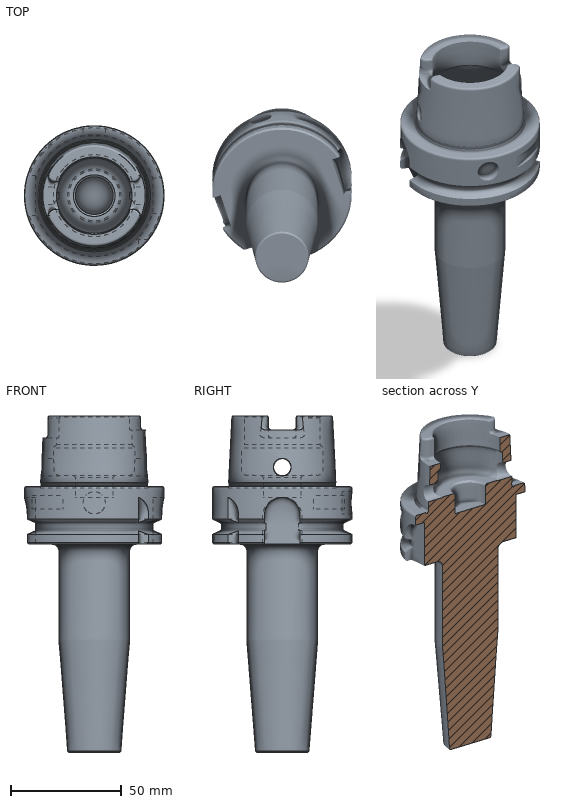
import cadquery as cq
import math


SHANK_LENGTH = 32.0
GAUGE_HEIGHT = 6.3
GAUGE_RADIUS = 24.0
TAPER_SLOPE = 1 / 20
SHANK_EDGE_FILLET = 1.0
RELIEF_HEIGHT = 1.8
RELIEF_DEPTH = 0.2
RELIEF_FOOT = 0.8
FACE_GROOVE_RADIUS = 25.4
FACE_GROOVE_DEPTH = 0.5

FLANGE_RADIUS = 31.5
FLANGE_THICKNESS = 26.0
FLANGE_TOP_FILLET = 1.0
FLANGE_BOTTOM_CHAMFER = 0.8
GROOVE_CENTRE_DEPTH = 18.1
GROOVE_MOUTH_WIDTH = 7.0
GROOVE_FLOOR_WIDTH = 3.2
GROOVE_RADIUS = 27.5
GROOVE_FILLET = 0.6

NOSE_LENGTH = 120.0
NOSE_RADIUS = 16.0
NOSE_TIP_RADIUS = 12.0
NOSE_CONE_ANGLE = 4.5
NOSE_TIP_CHAMFER = 0.6
NOSE_ROOT_FILLET = 3.0

BORE_RADIUS = 17.0
BORE_MOUTH_CHAMFER = 0.5
BORE_FLOOR_HEIGHT = 5.1
CLAMP_SHOULDER_HEIGHT = 19.0
CLAMP_RADIUS = 18.5
BORE_FLOOR_RADIUS = 15.8
PILOT_RADIUS = 8.5
PILOT_CHAMFER = 0.9
PILOT_DEPTH = 10.0

DRIVER_SLOT_WIDTH = 12.54
DRIVER_TIP_RADIUS = 3.25
DRIVER_WALL_X = 20.9
DRIVER_BASE_FILLET = 1.4
DRIVER_FLOOR_LEFT = 22.0
DRIVER_FLOOR_RIGHT = 25.6

CROSS_HOLE_DIAMETER = 7.8
CROSS_HOLE_HEIGHT = 8.75

KEYWAY_FLOOR_X = 26.5
KEYWAY_ROOF_DEPTH = 4.85
KEYWAY_WIDTH_LEFT = 18.0
KEYWAY_WIDTH_RIGHT = 16.0

NOTCH_FLOOR_X = 19.9
NOTCH_WALL_Y = -19.8
NOTCH_RADIUS = 8.5
NOTCH_SPRING_DEPTH = 12.4

CARRIER_HOLE_DIAMETER = 10.0
CARRIER_HOLE_DEPTH = 4.6
CARRIER_HOLE_Z = -7.3

FLAT_LENGTH = 20.0
FLAT_HEIGHT = 6.0
FLAT_CENTRE_DEPTH = 7.0
FLAT_DIRECTION = 135.0

CLEARANCE = 10.0
PICK_TOLERANCE = 0.1


def shank_radius(z):
    return GAUGE_RADIUS - (z - GAUGE_HEIGHT) * TAPER_SLOPE


def revolve_outline(outline):
    body = outline.close().revolve(360, (0, 0, 0), (0, 1, 0))
    return body.rotate((0, 0, 0), (0, 0, 1), -90)


def revolve_profile(points):
    return revolve_outline(cq.Workplane("XZ").polyline(points))


def make_driver_slot(side, floor):
    half = DRIVER_SLOT_WIDTH / 2
    tip_start = DRIVER_WALL_X - DRIVER_TIP_RADIUS
    tip_end = half + DRIVER_TIP_RADIUS
    mid_offset = DRIVER_TIP_RADIUS * math.sin(math.radians(45))
    mid = (tip_start + mid_offset, tip_end - mid_offset)
    far_x = FLANGE_RADIUS
    far_y = FLANGE_RADIUS
    plan = (
        cq.Workplane("XY")
        .moveTo(0, -half)
        .lineTo(tip_start, -half)
        .threePointArc((mid[0], -mid[1]), (DRIVER_WALL_X, -tip_end))
        .lineTo(DRIVER_WALL_X, -far_y)
        .lineTo(far_x, -far_y)
        .lineTo(far_x, far_y)
        .lineTo(DRIVER_WALL_X, far_y)
        .lineTo(DRIVER_WALL_X, tip_end)
        .threePointArc(mid, (tip_start, half))
        .lineTo(0, half)
        .close()
    )
    depth = SHANK_LENGTH - floor
    near = PICK_TOLERANCE
    limit_x = far_x - PICK_TOLERANCE
    limit_y = far_y - PICK_TOLERANCE
    base = cq.selectors.BoxSelector((near, -limit_y, -near), (limit_x, limit_y, near))
    cutter = plan.extrude(depth).edges(base).fillet(DRIVER_BASE_FILLET)
    plate = cq.Workplane("XY").box(far_x, 2 * far_y, CLEARANCE, centered=(False, True, False))
    cutter = cutter.union(plate.translate((0, 0, depth)))
    rim = cq.selectors.BoxSelector((near, -limit_y, depth - near), (limit_x, limit_y, depth + near))
    cutter = cutter.edges(rim).fillet(SHANK_EDGE_FILLET)
    if side < 0:
        cutter = cutter.rotate((0, 0, 0), (0, 0, 1), 180)
    return cutter.translate((0, 0, floor))


def make_shank():
    neck = shank_radius(RELIEF_HEIGHT) - RELIEF_DEPTH
    bottom = -FACE_GROOVE_DEPTH
    shank = revolve_profile([
        (0, bottom),
        (neck + RELIEF_FOOT, bottom),
        (neck, bottom + RELIEF_FOOT),
        (neck, RELIEF_HEIGHT - RELIEF_DEPTH),
        (shank_radius(RELIEF_HEIGHT), RELIEF_HEIGHT),
        (shank_radius(SHANK_LENGTH), SHANK_LENGTH),
        (0, SHANK_LENGTH),
    ])
    shank = shank.faces(">Z").edges().fillet(SHANK_EDGE_FILLET)
    shank = shank.cut(make_driver_slot(-1, DRIVER_FLOOR_LEFT))
    return shank.cut(make_driver_slot(1, DRIVER_FLOOR_RIGHT))


def make_flange():
    mouth_top = GROOVE_MOUTH_WIDTH / 2 - GROOVE_CENTRE_DEPTH
    mouth_bottom = -GROOVE_MOUTH_WIDTH / 2 - GROOVE_CENTRE_DEPTH
    floor_top = GROOVE_FLOOR_WIDTH / 2 - GROOVE_CENTRE_DEPTH
    floor_bottom = -GROOVE_FLOOR_WIDTH / 2 - GROOVE_CENTRE_DEPTH
    flange = revolve_profile([
        (0, 0),
        (FLANGE_RADIUS, 0),
        (FLANGE_RADIUS, mouth_top),
        (GROOVE_RADIUS, floor_top),
        (GROOVE_RADIUS, floor_bottom),
        (FLANGE_RADIUS, mouth_bottom),
        (FLANGE_RADIUS, -FLANGE_THICKNESS),
        (0, -FLANGE_THICKNESS),
    ])
    floor_band = cq.selectors.BoxSelector(
        (-FLANGE_RADIUS, -FLANGE_RADIUS, floor_bottom - PICK_TOLERANCE),
        (FLANGE_RADIUS, FLANGE_RADIUS, floor_top + PICK_TOLERANCE),
    )
    flange = flange.edges("%CIRCLE").edges(floor_band).fillet(GROOVE_FILLET)
    flange = flange.faces(">Z").edges().fillet(FLANGE_TOP_FILLET)
    flange = flange.faces("<Z").edges().chamfer(FLANGE_BOTTOM_CHAMFER)
    face_groove = cq.Workplane("XY").circle(FACE_GROOVE_RADIUS).extrude(-FACE_GROOVE_DEPTH)
    return flange.cut(face_groove)


def make_nose():
    cone_length = (NOSE_RADIUS - NOSE_TIP_RADIUS) / math.tan(math.radians(NOSE_CONE_ANGLE))
    root = -FLANGE_THICKNESS
    outer = NOSE_RADIUS + NOSE_ROOT_FILLET
    arc_offset = NOSE_ROOT_FILLET * (1 - math.sin(math.radians(45)))
    nose = (
        cq.Workplane("XZ")
        .moveTo(0, root)
        .lineTo(outer, root)
        .threePointArc(
            (NOSE_RADIUS + arc_offset, root - arc_offset),
            (NOSE_RADIUS, root - NOSE_ROOT_FILLET),
        )
        .lineTo(NOSE_RADIUS, cone_length - NOSE_LENGTH)
        .lineTo(NOSE_TIP_RADIUS, -NOSE_LENGTH)
        .lineTo(0, -NOSE_LENGTH)
    )
    return revolve_outline(nose).faces("<Z").edges().chamfer(NOSE_TIP_CHAMFER)


def make_bore():
    shoulder = CLAMP_RADIUS - BORE_RADIUS
    floor_fillet = CLAMP_RADIUS - BORE_FLOOR_RADIUS
    arc_offset = floor_fillet * (1 - math.sin(math.radians(45)))
    pilot_bottom = BORE_FLOOR_HEIGHT - PILOT_DEPTH
    bore = (
        cq.Workplane("XZ")
        .moveTo(0, SHANK_LENGTH)
        .lineTo(BORE_RADIUS + BORE_MOUTH_CHAMFER, SHANK_LENGTH)
        .lineTo(BORE_RADIUS, SHANK_LENGTH - BORE_MOUTH_CHAMFER)
        .lineTo(BORE_RADIUS, CLAMP_SHOULDER_HEIGHT)
        .lineTo(CLAMP_RADIUS, CLAMP_SHOULDER_HEIGHT - shoulder)
        .lineTo(CLAMP_RADIUS, BORE_FLOOR_HEIGHT + floor_fillet)
        .threePointArc(
            (CLAMP_RADIUS - arc_offset, BORE_FLOOR_HEIGHT + arc_offset),
            (BORE_FLOOR_RADIUS, BORE_FLOOR_HEIGHT),
        )
        .lineTo(PILOT_RADIUS + PILOT_CHAMFER, BORE_FLOOR_HEIGHT)
        .lineTo(PILOT_RADIUS, BORE_FLOOR_HEIGHT - PILOT_CHAMFER)
        .lineTo(PILOT_RADIUS, pilot_bottom)
        .lineTo(0, pilot_bottom)
    )
    return revolve_outline(bore)


def make_cross_hole(side):
    wall = cq.Workplane("YZ", origin=(side * BORE_FLOOR_RADIUS, 0, CROSS_HOLE_HEIGHT))
    return wall.circle(CROSS_HOLE_DIAMETER / 2).extrude(side * CLEARANCE)


def make_arched_slot(floor_x, centre_y, radius, spring_depth):
    bottom = -FLANGE_THICKNESS
    slot = (
        cq.Workplane("YZ", origin=(floor_x, centre_y, 0))
        .moveTo(-radius, bottom)
        .lineTo(radius, bottom)
        .lineTo(radius, -spring_depth)
        .threePointArc((0, radius - spring_depth), (-radius, -spring_depth))
        .close()
    )
    return slot.extrude(FLANGE_RADIUS)


def make_keyway(side, width):
    radius = width / 2
    slot = make_arched_slot(KEYWAY_FLOOR_X, 0, radius, KEYWAY_ROOF_DEPTH + radius)
    if side < 0:
        slot = slot.rotate((0, 0, 0), (0, 0, 1), 180)
    return slot


def make_notch():
    return make_arched_slot(NOTCH_FLOOR_X, NOTCH_WALL_Y - NOTCH_RADIUS, NOTCH_RADIUS, NOTCH_SPRING_DEPTH)


def make_carrier_hole():
    seat = cq.Workplane("XZ", origin=(0, FLANGE_RADIUS - CARRIER_HOLE_DEPTH, CARRIER_HOLE_Z))
    return seat.circle(CARRIER_HOLE_DIAMETER / 2).extrude(-CLEARANCE)


def make_label_flat():
    distance = math.sqrt(FLANGE_RADIUS**2 - (FLAT_LENGTH / 2) ** 2)
    block = cq.Workplane("XY").box(CLEARANCE, FLAT_LENGTH, FLAT_HEIGHT)
    block = block.translate((distance + CLEARANCE / 2, 0, -FLAT_CENTRE_DEPTH))
    return block.rotate((0, 0, 0), (0, 0, 1), FLAT_DIRECTION)


flange = make_flange()
flange = flange.cut(make_keyway(-1, KEYWAY_WIDTH_LEFT))
flange = flange.cut(make_keyway(1, KEYWAY_WIDTH_RIGHT))
flange = flange.cut(make_notch())
flange = flange.cut(make_label_flat())
flange = flange.cut(make_carrier_hole())

holder = flange.union(make_shank()).union(make_nose())
holder = holder.cut(make_bore())
for hole_side in (-1, 1):
    holder = holder.cut(make_cross_hole(hole_side))
result = holder